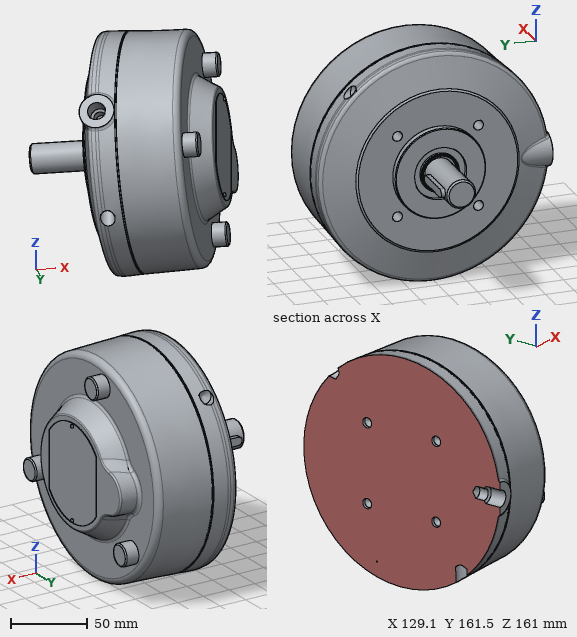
import cadquery as cq
import math


mount_face_radius = 55.7
mount_edge_radius = 57.1
mount_edge_depth = 1.0
cover_radius = 80.5
cover_cone_depth = 7.3
cover_corner_radius = 80.1
cover_rounding = 3.0
band_start = 12.1
band_end = 14.1
cover_end = 24.9
cover_end_radius = 79.9

seam_width = 1.0
seam_depth = 0.8

housing_start = cover_end + seam_width
housing_end = 67.9
housing_end_radius = 78.4
housing_rounding = 4.7

hub_end = 83.0
hub_base_radius = 48.4
hub_end_radius = 39.4
hub_rim_rounding = 1.2
hub_base_fillet = 2.5
lug_radius = 16.3
lug_center_y = 41.2
lug_draft = 2.0
lug_blend = 11.0

plate_radius = 35.3
plate_half_width = 28.3
plate_thickness = 0.4
rivet_z = 33.4
rivet_radius = 1.3
rivet_height = 1.2

screw_count = 3
screw_circle_radius = 64.25
screw_first_angle = 78.2
screw_head_radius = 8.05
screw_head_height = 10.0
screw_head_chamfer = 0.9

pilot_radius = 31.6
pilot_height = 5.0
pilot_chamfer = 0.6
recess_radius = 18.2
recess_depth = 3.0
seal_outer_radius = 13.4
seal_inner_radius = 11.8
seal_height = 2.5
seal_chamfer = 0.5
mount_hole_spacing = 56.6
mount_hole_diameter = 6.8
mount_hole_depth = 15.0
drill_tip_angle = 118.0

shaft_radius = 10.0
shaft_tip = -44.5
shaft_root = 5.0
shaft_chamfer = 1.2
key_start = -40.4
key_length = 32.0
key_width = 6.0
key_top = 12.7
key_bottom = 7.0

port_x = 13.1
port_face_y = -81.0
port_root_y = -45.0
port_boss_radius = 11.6
port_boss_fillet = 2.2
port_mouth_diameter = 11.8
port_mouth_depth = 12.0
port_inner_diameter = 8.2
port_inner_depth = 20.0

side_hole_x = 15.0
side_hole_diameter = 9.6
upper_hole_mouth_angle = 46.0
upper_hole_axis_angle = 11.0
upper_hole_depth = 2.5
lower_hole_mouth_angle = 232.3
lower_hole_axis_angle = 267.0
lower_hole_depth = 8.0


def revolve_profile(points):
    """Turn a closed (x, radius) outline about the X axis."""
    return cq.Workplane("XY").polyline(points).close().revolve(360, (0, 0, 0), (1, 0, 0))


def ring_edge_at(x):
    """Select full circles that lie around the X axis at the given x."""
    reach = 0.05
    return cq.selectors.BoxSelector((x - reach, -reach, -reach), (x + reach, reach, reach))


def disc(x, radius, length, y=0.0, z=0.0):
    """Cylinder along +X starting at x."""
    return cq.Workplane("YZ", origin=(x, y, z)).circle(radius).extrude(length)


def drilled_hole(start, direction, diameter, depth):
    """Blind hole with a conical drill tip; starts outside the surface to cut it cleanly."""
    axis = cq.Vector(*direction).normalized()
    mouth = cq.Vector(*start)
    lead_in = diameter
    radius = diameter / 2
    tip_length = radius / math.tan(math.radians(drill_tip_angle / 2))
    bore = cq.Solid.makeCylinder(radius, depth + lead_in, mouth - axis * lead_in, axis)
    tip = cq.Solid.makeCone(radius, 0, tip_length, mouth + axis * depth, axis)
    return cq.Workplane(obj=bore.fuse(tip))


def make_cover():
    """Front cover with the port boss blended into its cone and rim."""
    cone_slope = (cover_corner_radius - mount_edge_radius) / (cover_cone_depth - mount_edge_depth)
    cone_start = -2 * mount_edge_depth
    cone_start_radius = mount_edge_radius + (cone_start - mount_edge_depth) * cone_slope
    cover = revolve_profile([
        (cone_start, 0),
        (cone_start, cone_start_radius),
        (cover_cone_depth, cover_corner_radius),
        (band_start, cover_radius),
        (band_end, cover_radius),
        (cover_end, cover_end_radius),
        (housing_end, cover_end_radius),
        (housing_end, 0),
    ])
    cover = cover.edges(ring_edge_at(cover_cone_depth)).fillet(cover_rounding)
    boss = (
        cq.Workplane("XZ", origin=(port_x, port_root_y, 0))
        .circle(port_boss_radius)
        .extrude(port_root_y - port_face_y)
    )
    cover = cover.union(boss)
    margin = 0.1
    reach = port_boss_radius + margin
    boss_root = cq.selectors.BoxSelector(
        (port_x - reach, port_face_y + margin, -reach),
        (port_x + reach, port_root_y - margin, reach),
        boundingbox=True)
    cover = cover.edges(boss_root).fillet(port_boss_fillet)
    behind_cover = disc(cover_end, 2 * cover_radius, housing_end)
    before_cover = disc(-housing_end, 2 * cover_radius, housing_end)
    pad = revolve_profile([
        (0, 0),
        (0, mount_face_radius),
        (mount_edge_depth, mount_edge_radius),
        (mount_edge_depth, 0),
    ])
    return cover.cut(behind_cover).cut(before_cover).union(pad)


def make_housing():
    """Drafted housing drum with a narrow seam groove in front of it."""
    housing = revolve_profile([
        (cover_end, 0),
        (cover_end, cover_end_radius - seam_depth),
        (housing_start, cover_end_radius - seam_depth),
        (housing_start, cover_end_radius),
        (housing_end, housing_end_radius),
        (housing_end, 0),
    ])
    return housing.edges(ring_edge_at(housing_end)).fillet(housing_rounding)


def make_hub():
    """Conical rear hub with a rounded lug on the +Y side."""
    hub = revolve_profile([
        (housing_end, 0),
        (housing_end, hub_base_radius),
        (hub_end, hub_end_radius),
        (hub_end, 0),
    ])
    lug = (
        cq.Workplane("YZ", origin=(housing_end, lug_center_y, 0))
        .circle(lug_radius)
        .extrude(hub_end - housing_end, taper=lug_draft)
    )
    hub = hub.union(lug)
    margin = 1.0
    lug_corners = cq.selectors.BoxSelector(
        (housing_end + margin, 0, -2 * lug_radius),
        (hub_end - margin, lug_center_y + lug_radius, 2 * lug_radius))
    hub = hub.edges(lug_corners).fillet(lug_blend)
    return hub.faces(">X").edges().fillet(hub_rim_rounding)


def make_rating_plate():
    """Thin round plate with two flats, held by two domed rivets."""
    plate = disc(hub_end, plate_radius, plate_thickness).intersect(
        cq.Workplane("XY", origin=(hub_end, 0, 0))
        .box(4 * plate_thickness, 2 * plate_half_width, 2 * plate_radius)
    )
    for side in (-1, 1):
        rivet = disc(hub_end, rivet_radius, plate_thickness + rivet_height, z=side * rivet_z)
        plate = plate.union(rivet.faces(">X").edges().fillet(rivet_radius / 2))
    return plate


def make_screw_heads():
    heads = cq.Workplane()
    for index in range(screw_count):
        angle = math.radians(screw_first_angle + index * 360 / screw_count)
        head = disc(
            housing_end, screw_head_radius, screw_head_height,
            y=screw_circle_radius * math.cos(angle), z=screw_circle_radius * math.sin(angle))
        heads = heads.add(head.faces(">X").edges().chamfer(screw_head_chamfer))
    return heads.combine()


def make_pilot():
    """Centring pilot with the shaft seal sitting in its recess."""
    pilot = disc(-pilot_height, pilot_radius, pilot_height)
    pilot = pilot.faces("<X").edges().chamfer(pilot_chamfer)
    recess_floor = recess_depth - pilot_height
    pilot = pilot.cut(disc(-pilot_height, recess_radius, recess_depth))
    seal = disc(recess_floor - seal_height, seal_outer_radius, seal_height)
    seal = seal.cut(disc(recess_floor - seal_height, seal_inner_radius, seal_height))
    seal = seal.faces("<X").edges().chamfer(seal_chamfer)
    return pilot.union(seal)


def make_shaft():
    """Shaft with a round-ended key on the +Y side."""
    shaft = disc(shaft_tip, shaft_radius, shaft_root - shaft_tip)
    shaft = shaft.faces("<X").edges().chamfer(shaft_chamfer)
    key = (
        cq.Workplane("XZ", origin=(key_start + key_length / 2, key_top, 0))
        .slot2D(key_length, key_width)
        .extrude(key_top - key_bottom)
    )
    return shaft.union(key)


def make_mount_holes():
    holes = cq.Workplane()
    for y_side in (-1, 1):
        for z_side in (-1, 1):
            start = (0, y_side * mount_hole_spacing / 2, z_side * mount_hole_spacing / 2)
            holes = holes.add(
                drilled_hole(start, (1, 0, 0), mount_hole_diameter, mount_hole_depth))
    return holes.combine()


def make_port():
    """Blind port: a wide drilled mouth stepping down to a narrower drilled bore."""
    start = (port_x, port_face_y, 0)
    inward = (0, 1, 0)
    mouth = drilled_hole(start, inward, port_mouth_diameter, port_mouth_depth)
    inner = drilled_hole(start, inward, port_inner_diameter, port_inner_depth)
    return mouth.union(inner)


def make_side_hole(mouth_angle, axis_angle, depth):
    """Hole in the rim; both angles are measured from +Y toward +Z."""
    mouth = math.radians(mouth_angle)
    axis = math.radians(axis_angle)
    start = (side_hole_x, cover_radius * math.cos(mouth), cover_radius * math.sin(mouth))
    inward = (0, -math.cos(axis), -math.sin(axis))
    return drilled_hole(start, inward, side_hole_diameter, depth)


def make_body():
    """Cover, housing and hub in one piece, with a fillet around the foot of the hub."""
    body = make_cover().union(make_housing()).union(make_hub())
    margin = 0.05
    reach = lug_center_y + lug_radius + 1
    hub_foot = cq.selectors.BoxSelector(
        (housing_end - margin, -reach, -reach), (housing_end + margin, reach, reach), boundingbox=True)
    return body.edges(hub_foot).fillet(hub_base_fillet)


result = make_body()
result = result.union(make_rating_plate())
result = result.union(make_screw_heads())
result = result.union(make_pilot())
result = result.union(make_shaft())
result = result.cut(make_mount_holes())
result = result.cut(make_port())
result = result.cut(
    make_side_hole(upper_hole_mouth_angle, upper_hole_axis_angle, upper_hole_depth))
result = result.cut(
    make_side_hole(lower_hole_mouth_angle, lower_hole_axis_angle, lower_hole_depth))